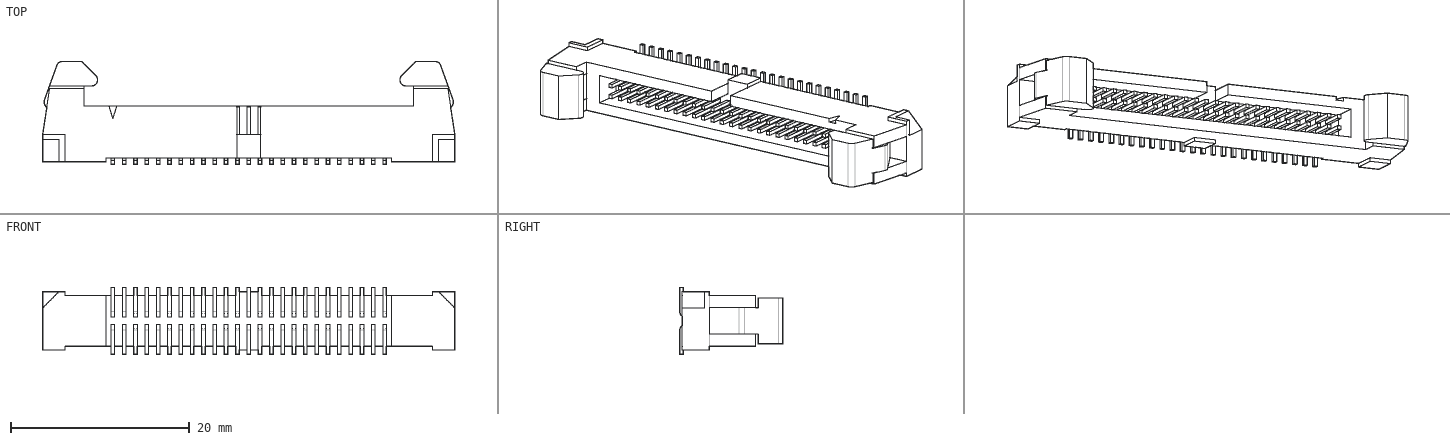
import cadquery as cq
import math


half_length = 23.1
body_half_height = 2.85
block_half_height = 3.3
block_length = 2.55
block_top = 3.05
mouth_y = 6.3
ear_top = 8.25
ear_inner_x = 18.45
ear_taper = 0.8
corner_cut = 1.85
corner_cut_depth = 2.5

recess_half_length = 16.0
recess_depth = 0.4
cavity_half_length = 16.65
cavity_half_height = 1.6
cavity_floor = block_top
key_width = 2.65
notch_width = 0.9
notch_length = 1.45
notch_depth = 0.4

pin_count = 25
pin_row_length = 30.45
pin_pitch = pin_row_length / (pin_count - 1)
pin_width = 0.4
pin_row_z = pin_pitch / 2
pin_feet_span = 7.55
pin_foot_end = pin_feet_span / 2
pin_foot_y = -0.3
pin_bend_outer_radius = 0.6
pin_tip_setback = 0.15
pin_tip_y = mouth_y - pin_tip_setback

latch_half_height = 1.5
head_half_height = 2.6
head_bottom = 8.5
latch_top = 11.3
head_outer_x = 21.35
head_inner_x = 18.72
apex_x = 23.0
apex_y = 6.65
heel_angle = 31.0
head_corner_radius = 0.7
round_radius = 0.7


def box(x_range, y_range, z_range):
    """Box given by its (low, high) limits along each axis."""
    limits = (x_range, y_range, z_range)
    sizes = [high - low for low, high in limits]
    corner = cq.Vector(*[low for low, high in limits])
    return cq.Workplane(obj=cq.Solid.makeBox(*sizes, corner))


def plate(points, half_height):
    """Closed XY outline extruded symmetrically about z = 0."""
    return cq.Workplane("XY").polyline(points).close().extrude(half_height, both=True)


def make_shell():
    """Main body with its two tapered ears."""
    right_half = [
        (half_length, 0),
        (half_length, block_top),
        (half_length - ear_taper, ear_top),
        (ear_inner_x, ear_top),
        (ear_inner_x, mouth_y),
    ]
    left_half = [(-x, y) for x, y in reversed(right_half)]
    return plate(right_half + left_half, body_half_height)


def make_end_block(side):
    """Thicker block at one end, with its upper outer corner cut off at 45 degrees."""
    outer = side * half_length
    inner = side * (half_length - block_length)
    block = box(sorted((inner, outer)), (0, block_top), (-block_half_height, block_half_height))
    corner = (
        cq.Workplane("XZ")
        .polyline([
            (outer, block_half_height),
            (outer - side * corner_cut, block_half_height),
            (outer, block_half_height - corner_cut),
        ])
        .close()
        .extrude(-corner_cut_depth)
    )
    return block, corner


def make_latch_slot(side):
    """Slot that splits one ear into two cheeks."""
    x_range = sorted((side * ear_inner_x, side * half_length))
    return box(x_range, (block_top, ear_top), (-latch_half_height, latch_half_height))


def make_pin():
    """One pin of the upper row at x = 0: a straight leg, a bend and a foot along +Z."""
    z_inner = pin_row_z - pin_width / 2
    z_outer = z_inner + pin_width
    foot_back = pin_foot_y + pin_width
    inner_radius = pin_bend_outer_radius - pin_width
    bend_y = pin_foot_y + pin_bend_outer_radius
    bend_z = z_inner + pin_bend_outer_radius
    diagonal = math.sqrt(0.5)
    return (
        cq.Workplane("YZ")
        .moveTo(pin_tip_y, z_inner)
        .lineTo(bend_y, z_inner)
        .threePointArc(
            (bend_y - pin_bend_outer_radius * diagonal, bend_z - pin_bend_outer_radius * diagonal),
            (pin_foot_y, bend_z),
        )
        .lineTo(pin_foot_y, pin_foot_end)
        .lineTo(foot_back, pin_foot_end)
        .lineTo(foot_back, bend_z)
        .threePointArc(
            (bend_y - inner_radius * diagonal, bend_z - inner_radius * diagonal),
            (bend_y, z_outer),
        )
        .lineTo(pin_tip_y, z_outer)
        .close()
        .extrude(pin_width / 2, both=True)
    )


def pin_x(index):
    """Position of a pin along its row."""
    return (index - (pin_count - 1) / 2) * pin_pitch


def make_housing():
    """Insulator with the two rows of pins fixed in it as one body."""
    housing = make_shell()
    block_z = (-block_half_height, block_half_height)
    cavity_z = (-cavity_half_height, cavity_half_height)

    for side in (-1, 1):
        block, corner = make_end_block(side)
        housing = housing.union(block).cut(corner).cut(make_latch_slot(side))

    key_range = (-key_width / 2, key_width / 2)
    housing = housing.union(box(key_range, (recess_depth, block_top), block_z))

    recess_range = (-recess_half_length, recess_half_length)
    housing = housing.cut(box(recess_range, (0, recess_depth), block_z))

    cavity_range = (-cavity_half_length, cavity_half_length)
    housing = housing.cut(box(cavity_range, (cavity_floor, mouth_y), cavity_z))
    housing = housing.cut(box(key_range, (cavity_floor, mouth_y), (0, body_half_height)))

    notch = (
        cq.Workplane("XY", origin=(pin_x(0), mouth_y, body_half_height))
        .polyline([(-notch_width / 2, 0), (notch_width / 2, 0), (0, -notch_length)])
        .close()
        .extrude(-notch_depth)
    )
    housing = housing.cut(notch)

    upper_pin = make_pin()
    pins = []
    for pin in (upper_pin, upper_pin.mirror("XY")):
        for index in range(pin_count):
            pins.append(pin.val().translate(cq.Vector(pin_x(index), 0, 0)))
    return cq.Workplane(obj=housing.val().fuse(*pins))


def round_edge(solid, x, y, radius):
    """Round the Z-parallel edge nearest to (x, y)."""
    return solid.edges("|Z").edges(cq.selectors.NearestToPointSelector((x, y, 0))).fillet(radius)


def make_latch(side):
    """Latch with a wide hooked head on an arm that fills its slot."""
    heel_x = apex_x - (apex_y - block_top) * math.tan(math.radians(heel_angle))
    flank_slope = (apex_x - head_outer_x) / (latch_top - apex_y)
    neck_outer_x = head_outer_x + (latch_top - head_bottom) * flank_slope
    hook_tip_x = head_inner_x - (latch_top - head_bottom)

    arm = plate([
        (ear_inner_x, block_top),
        (heel_x, block_top),
        (apex_x, apex_y),
        (neck_outer_x, head_bottom),
        (ear_inner_x, head_bottom),
    ], latch_half_height)
    arm = round_edge(arm, apex_x, apex_y, round_radius)

    head = plate([
        (neck_outer_x, head_bottom),
        (head_outer_x, latch_top),
        (head_inner_x, latch_top),
        (hook_tip_x, head_bottom),
    ], head_half_height)
    head = round_edge(head, head_outer_x, latch_top, head_corner_radius)
    head = round_edge(head, hook_tip_x, head_bottom, round_radius)

    latch = arm.union(head)
    return latch if side > 0 else latch.mirror("YZ")


housing = make_housing()
latches = [make_latch(side) for side in (-1, 1)]

result = cq.Compound.makeCompound([housing.val(), *[latch.val() for latch in latches]])